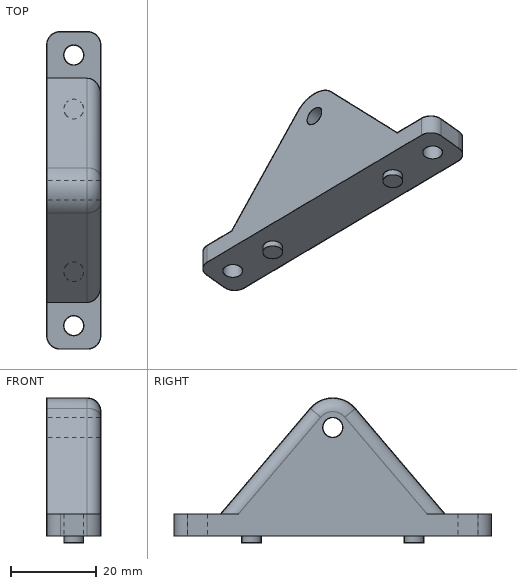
import cadquery as cq
import math

length = 74.5
width = 12.7
base_height = 5.2
corner_radius = 3.2

total_height = 33.95
pin_length = 1.6
apex_radius = 6.9
foot_half_length = 26.3
edge_fillet = 3.2
apex_z = total_height - pin_length
pivot_z = apex_z - apex_radius

round_diameter = 4.6
mount_hole_y = 31.7
pin_y = 19.1


def make_base():
    plate = cq.Workplane("XY").box(width, length, base_height, centered=(True, True, False))
    return plate.edges("|Z").fillet(corner_radius)


def make_upright():
    rise = pivot_z - base_height
    foot_to_pivot = math.hypot(foot_half_length, rise)
    flank_angle = math.atan2(rise, foot_half_length) + math.asin(apex_radius / foot_to_pivot)
    tangent_y = apex_radius * math.sin(flank_angle)
    tangent_z = pivot_z + apex_radius * math.cos(flank_angle)

    upright = (
        cq.Workplane("YZ", origin=(-width / 2, 0, 0))
        .moveTo(-foot_half_length, base_height)
        .lineTo(-tangent_y, tangent_z)
        .threePointArc((0, apex_z), (tangent_y, tangent_z))
        .lineTo(foot_half_length, base_height)
        .close()
        .extrude(width)
    )
    return upright.faces(">X").edges("not <Z").fillet(edge_fillet)


def make_pins():
    return (
        cq.Workplane("XY")
        .pushPoints([(0, -pin_y), (0, pin_y)])
        .circle(round_diameter / 2)
        .extrude(-pin_length)
    )


def make_mount_holes():
    return (
        cq.Workplane("XY")
        .pushPoints([(0, -mount_hole_y), (0, mount_hole_y)])
        .circle(round_diameter / 2)
        .extrude(base_height)
    )


def make_pivot_hole():
    return (
        cq.Workplane("YZ")
        .center(0, pivot_z)
        .circle(round_diameter / 2)
        .extrude(width / 2, both=True)
    )


body = make_base().union(make_upright()).union(make_pins())
result = body.cut(make_mount_holes()).cut(make_pivot_hole())